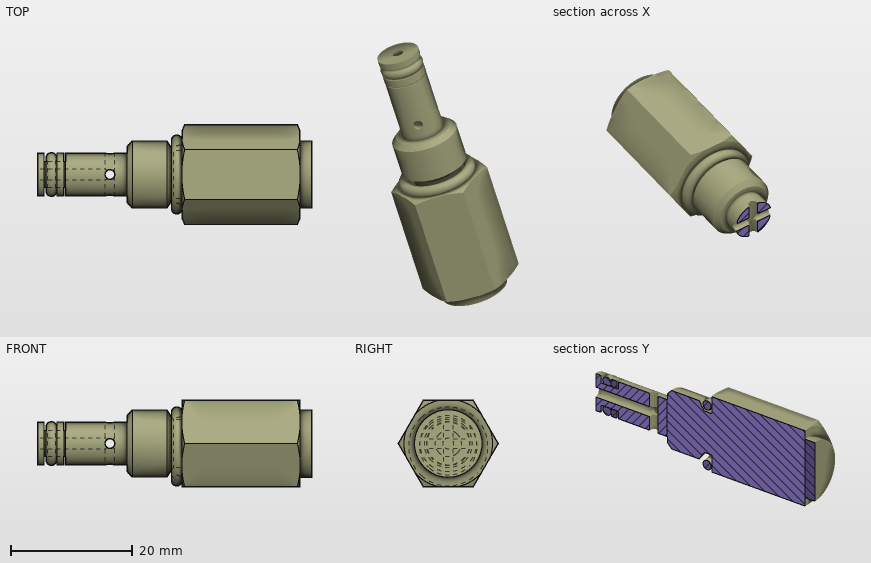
import cadquery as cq
import math


shoulder_start = 14.74
hex_start = 23.83
hex_length = 19.37
overall_length = 45.2
hex_end = hex_start + hex_length

nose_diameter = 7.06
groove_floor_diameter = 4.32
groove_start = 1.09
groove_end = 4.63
nose_bore_diameter = 1.78
cross_hole_diameter = 1.57
cross_hole_x = 11.92
nose_bore_depth = cross_hole_x + cross_hole_diameter / 2

nose_ring_section = 1.78
nose_ring_outer_diameter = 7.24
backup_outer_diameter = 7.11
backup_start = 3.19
backup_thickness = 1.17

shoulder_diameter = 11.1
shoulder_lead_diameter = 9.3
shoulder_lead_length = 0.87
shoulder_end = 21.3
undercut_diameter = 7.92
undercut_taper_length = 1.06
across_flats = 14.27
across_corners = across_flats / math.cos(math.pi / 6)
hex_face_diameter = 14.57
hex_chamfer_length = 0.41

body_ring_section = 1.78
body_ring_outer_diameter = 13.03
body_ring_drop = 0.48

plug_diameter = 11.12


def disc(x_start, length, diameter):
    """Solid cylinder on the valve axis."""
    return cq.Workplane("YZ", origin=(x_start, 0, 0)).circle(diameter / 2).extrude(length)


def turned(profile):
    """Solid of revolution about the X axis from (x, radius) points."""
    return cq.Workplane("XY").polyline(profile).close().revolve(360, (0, 0, 0), (1, 0, 0))


def o_ring(x_center, outer_diameter, section):
    """Round-section ring around the X axis."""
    center_radius = (outer_diameter - section) / 2
    return (
        cq.Workplane("XY")
        .center(x_center, center_radius)
        .circle(section / 2)
        .revolve(360, (0, -center_radius, 0), (1, -center_radius, 0))
    )


def make_nose():
    groove_length = groove_end - groove_start
    nose = disc(0, groove_start, nose_diameter)
    nose = nose.union(disc(groove_start, groove_length, groove_floor_diameter))
    nose = nose.union(disc(groove_end, shoulder_start - groove_end, nose_diameter))
    nose = nose.cut(disc(0, nose_bore_depth, nose_bore_diameter))
    for plane in ("XY", "XZ"):
        cross_hole = (
            cq.Workplane(plane, origin=(cross_hole_x, 0, 0))
            .circle(cross_hole_diameter / 2)
            .extrude(nose_diameter, both=True)
        )
        nose = nose.cut(cross_hole)
    return nose


def make_nose_ring():
    ring = o_ring(backup_start - nose_ring_section / 2, nose_ring_outer_diameter, nose_ring_section)
    return ring.cut(disc(0, shoulder_start, groove_floor_diameter))


def make_backup_ring():
    ring = disc(backup_start, backup_thickness, backup_outer_diameter)
    return ring.cut(disc(backup_start, backup_thickness, groove_floor_diameter))


def make_shoulder():
    return turned([
        (shoulder_start, 0),
        (shoulder_start, shoulder_lead_diameter / 2),
        (shoulder_start + shoulder_lead_length, shoulder_diameter / 2),
        (shoulder_end, shoulder_diameter / 2),
        (shoulder_end + undercut_taper_length, undercut_diameter / 2),
        (hex_start, undercut_diameter / 2),
        (hex_start, 0),
    ])


def make_hex():
    prism = (
        cq.Workplane("YZ", origin=(hex_start, 0, 0))
        .polygon(6, across_corners)
        .extrude(hex_length)
    )
    chamfer_envelope = turned([
        (hex_start, 0),
        (hex_start, hex_face_diameter / 2),
        (hex_start + hex_chamfer_length, across_corners / 2),
        (hex_end - hex_chamfer_length, across_corners / 2),
        (hex_end, hex_face_diameter / 2),
        (hex_end, 0),
    ])
    return prism.intersect(chamfer_envelope)


def make_body_ring():
    x_center = hex_start - body_ring_section / 2
    ring = o_ring(x_center, body_ring_outer_diameter, body_ring_section)
    return ring.translate((0, 0, -body_ring_drop))


nose = make_nose()
nose_ring = make_nose_ring()
backup_ring = make_backup_ring()
hex_body = make_shoulder().union(make_hex())
body_ring = make_body_ring()
end_plug = disc(hex_end, overall_length - hex_end, plug_diameter)

result = cq.Compound.makeCompound([
    nose.val(),
    nose_ring.val(),
    backup_ring.val(),
    hex_body.val(),
    body_ring.val(),
    end_plug.val(),
])